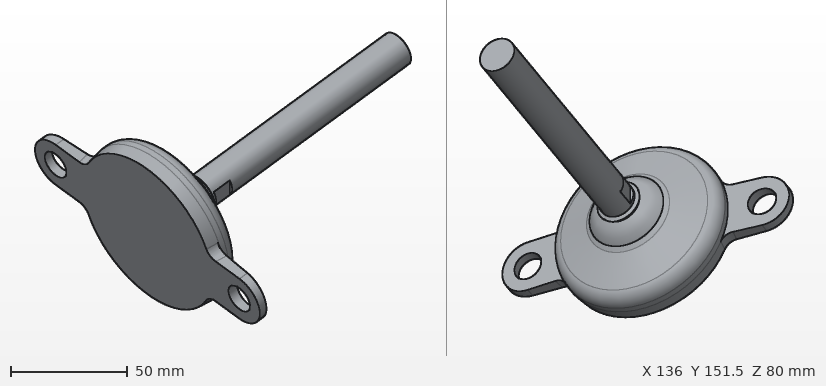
import cadquery as cq
import math

TOTAL_LENGTH = 151.5

RIM_RADIUS = 40.0
SOLE_RADIUS = 39.1
DRAFT_TOP = 6.4
RIM_TOP = 9.2
SHOULDER_RADIUS = 34.8
SHOULDER_HEIGHT = 15.8
SHOULDER_MID_RADIUS = 38.5
SHOULDER_MID_HEIGHT = 13.0
NECK_RADIUS = 19.7
NECK_HEIGHT = 21.8
DOME_RADIUS = 17.5
DOME_HEIGHT = 23.2
DOME_MID_RADIUS = 14.2
DOME_MID_HEIGHT = 27.3
SEAT_RADIUS = 9.5
SEAT_HEIGHT = 30.0

EAR_SPAN = 136.0
EAR_WIDTH = 25.0
EAR_HOLE_DIAMETER = 13.0
EAR_TIP_THICKNESS = 4.1
EAR_ROOT_THICKNESS = 6.2
EAR_ROOT_X = 34.8
EAR_BLEND_RADIUS = 6.0
HOLE_SPACING = EAR_SPAN - EAR_WIDTH

STEM_RADIUS = 8.2
COLLAR_RADIUS = 10.0
COLLAR_EDGE = 31.0
COLLAR_TOP = 32.0
FLATS_WIDTH = 13.5
FLATS_START = 33.5
FLATS_END = 43.2


def make_plate():
    """Drafted rim, rounded shoulder and dome, revolved about Y."""
    return (
        cq.Workplane("XY")
        .lineTo(SOLE_RADIUS, 0)
        .lineTo(RIM_RADIUS, DRAFT_TOP)
        .lineTo(RIM_RADIUS, RIM_TOP)
        .threePointArc((SHOULDER_MID_RADIUS, SHOULDER_MID_HEIGHT), (SHOULDER_RADIUS, SHOULDER_HEIGHT))
        .lineTo(NECK_RADIUS, NECK_HEIGHT)
        .lineTo(DOME_RADIUS, DOME_HEIGHT)
        .threePointArc((DOME_MID_RADIUS, DOME_MID_HEIGHT), (SEAT_RADIUS, SEAT_HEIGHT))
        .lineTo(0, SEAT_HEIGHT)
        .close()
        .revolve(360, (0, 0, 0), (0, 1, 0))
    )


def make_ears():
    """Two round-ended ears, blended into the drafted rim and thinning towards their tips."""
    bar = cq.Workplane("XZ").slot2D(EAR_SPAN, EAR_WIDTH).extrude(-DRAFT_TOP)
    drafted_disc = (
        cq.Workplane("XY")
        .lineTo(SOLE_RADIUS, 0)
        .lineTo(RIM_RADIUS, DRAFT_TOP)
        .lineTo(0, DRAFT_TOP)
        .close()
        .revolve(360, (0, 0, 0), (0, 1, 0))
    )
    blended = drafted_disc.union(bar)
    corner_y = DRAFT_TOP / 2
    corner_z = EAR_WIDTH / 2
    corner_x = math.sqrt(((SOLE_RADIUS + RIM_RADIUS) / 2) ** 2 - corner_z**2)
    for side_x in (-1, 1):
        for side_z in (-1, 1):
            corner = (side_x * corner_x, corner_y, side_z * corner_z)
            blended = blended.edges(cq.NearestToPointSelector(corner)).fillet(EAR_BLEND_RADIUS)

    tip_x = EAR_SPAN / 2
    taper = (
        cq.Workplane("XY")
        .polyline([
            (-tip_x, 0),
            (tip_x, 0),
            (tip_x, EAR_TIP_THICKNESS),
            (EAR_ROOT_X, EAR_ROOT_THICKNESS),
            (-EAR_ROOT_X, EAR_ROOT_THICKNESS),
            (-tip_x, EAR_TIP_THICKNESS),
        ])
        .close()
        .extrude(RIM_RADIUS, both=True)
    )
    holes = (
        cq.Workplane("XZ")
        .pushPoints([(-HOLE_SPACING / 2, 0), (HOLE_SPACING / 2, 0)])
        .circle(EAR_HOLE_DIAMETER / 2)
        .extrude(-EAR_ROOT_THICKNESS)
    )
    return blended.intersect(taper).cut(holes)


def make_foot():
    return make_plate().union(make_ears())


def make_stem():
    """Round stem with a flared collar and two wrench flats."""
    stem = (
        cq.Workplane("XY")
        .moveTo(0, SEAT_HEIGHT)
        .lineTo(SEAT_RADIUS, SEAT_HEIGHT)
        .lineTo(COLLAR_RADIUS, COLLAR_EDGE)
        .lineTo(STEM_RADIUS, COLLAR_TOP)
        .lineTo(STEM_RADIUS, TOTAL_LENGTH)
        .lineTo(0, TOTAL_LENGTH)
        .close()
        .revolve(360, (0, 0, 0), (0, 1, 0))
    )
    for side in (-1, 1):
        cutter = cq.Workplane("XY").box(STEM_RADIUS, FLATS_END - FLATS_START, 2 * STEM_RADIUS)
        cutter_x = side * (FLATS_WIDTH + STEM_RADIUS) / 2
        cutter_y = (FLATS_START + FLATS_END) / 2
        stem = stem.cut(cutter.translate((cutter_x, cutter_y, 0)))
    return stem


foot = make_foot()
stem = make_stem()

result = cq.Compound.makeCompound([foot.val(), stem.val()])